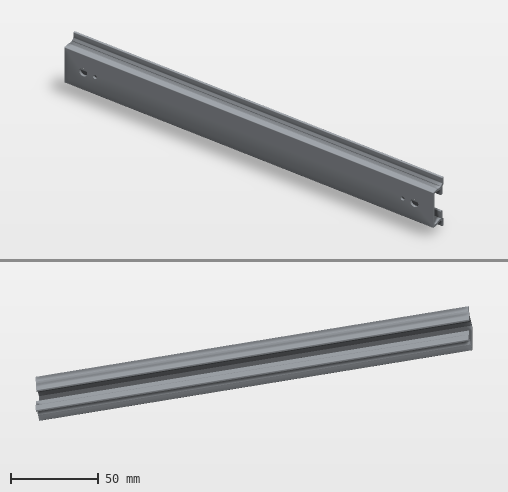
import cadquery as cq

length = 253.0
depth = 11.0
height = 35.0

wall = 1.5
web_height = 25.4
leg_tip_z = 5.7
neck_drop = 0.6

front_y = -depth / 2
back_y = depth / 2
web_back_y = front_y + wall
flange_top_z = web_height / 2
flange_bottom_z = flange_top_z - wall
neck_top_z = flange_top_z - neck_drop
neck_bottom_z = neck_top_z - wall
lip_top_z = height / 2
lip_front_y = back_y - wall

step_flange_y = -1.3
step_neck_y = 0.5

leg_back_y = lip_front_y
leg_front_y = leg_back_y - wall
bend_rise = 1.2
bend_front_z = 12.4
bend_back_z = 11.3

edge_radius = 0.4

mounting_hole_diameter = 5.5
mounting_hole_from_end = 13.0
pilot_hole_diameter = 2.8
pilot_hole_from_end = 21.0


def upper_half_outline():
    """Outline of the upper half of the section, from the web face round to its back."""
    points = [
        (front_y, 0),
        (front_y, flange_top_z),
        (step_flange_y, flange_top_z),
        (step_neck_y, neck_top_z),
        (leg_front_y, neck_top_z),
        (leg_front_y, bend_front_z),
        (lip_front_y, bend_front_z + bend_rise),
        (lip_front_y, lip_top_z),
        (back_y, lip_top_z),
        (back_y, bend_back_z + bend_rise),
        (leg_back_y, bend_back_z),
        (leg_back_y, leg_tip_z),
        (leg_front_y, leg_tip_z),
        (leg_front_y, neck_bottom_z),
        (step_neck_y, neck_bottom_z),
        (step_flange_y, flange_bottom_z),
        (web_back_y, flange_bottom_z),
        (web_back_y, 0),
    ]
    return cq.Workplane("YZ").polyline(points).close()


def edges_through(body, y, z):
    """Lengthwise edges at (y, z) and at its mirror image (y, -z)."""
    found = []
    for side in (-1, 1):
        nearest = cq.selectors.NearestToPointSelector((0, y, side * z))
        found += body.edges("|X").edges(nearest).vals()
    return found


def rail_body():
    """Symmetric rail section extruded along X, centred on the origin."""
    half = upper_half_outline().extrude(length / 2, both=True)
    body = half.union(half.mirror("XY")).clean()
    rounded_corners = [
        (front_y, flange_top_z),
        (leg_front_y, bend_front_z),
        (lip_front_y, bend_front_z + bend_rise),
        (lip_front_y, lip_top_z),
        (back_y, lip_top_z),
        (back_y, bend_back_z + bend_rise),
        (leg_back_y, bend_back_z),
        (leg_front_y, leg_tip_z),
        (leg_back_y, leg_tip_z),
    ]
    rounded_edges = []
    for y, z in rounded_corners:
        rounded_edges += edges_through(body, y, z)
    return body.newObject(rounded_edges).fillet(edge_radius)


def web_holes(diameter, from_end):
    """Pair of round cutters through the web, one near each end."""
    x = length / 2 - from_end
    return (
        cq.Workplane("XZ", origin=(0, web_back_y, 0))
        .pushPoints([(-x, 0), (x, 0)])
        .circle(diameter / 2)
        .extrude(wall)
    )


result = (
    rail_body()
    .cut(web_holes(mounting_hole_diameter, mounting_hole_from_end))
    .cut(web_holes(pilot_hole_diameter, pilot_hole_from_end))
)